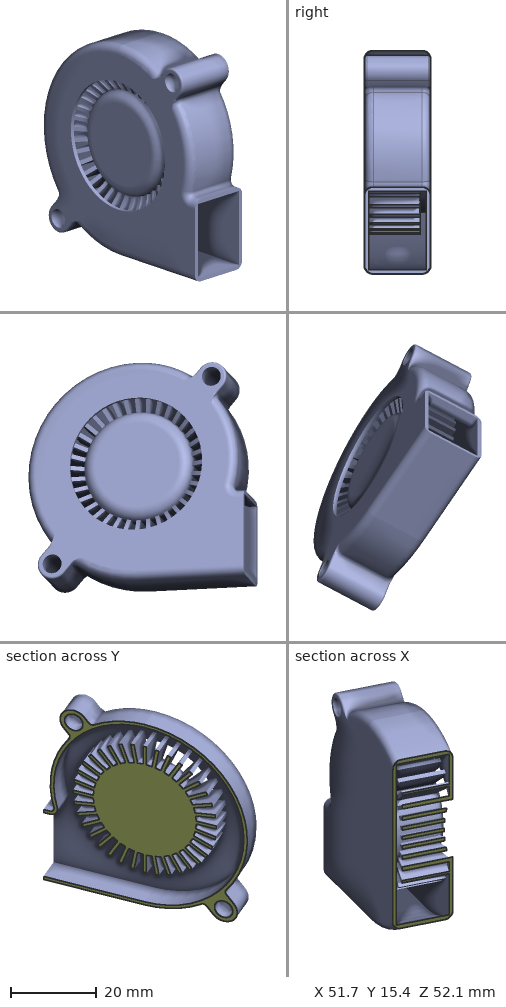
import cadquery as cq
import math

depth = 15.4
large_radius = 26.05
small_radius = 24.0
scroll_top = 24.57
large_center_z = scroll_top - large_radius
small_center_z = scroll_top - small_radius
outlet_x = 25.69
outlet_top = -7.24
neck_radius = 1.0
edge_radius = 2.0
wall = 1.0
mouth_overcut = 1.0

upper_lug = (18.0, 20.0)
lower_lug = (-20.0, -23.0)
lug_angle = math.atan2(upper_lug[1] - lower_lug[1], upper_lug[0] - lower_lug[0])
lug_radius = 3.5
lug_length = 10.0
lug_hole_diameter = 4.5
lug_edge_radius = 0.5
lug_root_radius = 1.0

inlet_radius = 15.8
hub_radius = 13.1
hub_edge_radius = 3.0
hub_recess = 1.0
blade_count = 36
blade_width = 1.0
blade_outer_radius = 18.2
blade_rim_recess = wall
blade_root_recess = 2.7
blade_back = 13.0
blade_overlap = 1.0


def at_depth(y):
    """Work plane at depth y with local axes along X and Z."""
    return cq.Workplane("XZ", origin=(0, y, 0))


def polar(center, radius, angle):
    return (center[0] + radius * math.cos(angle), center[1] + radius * math.sin(angle))


def scroll_outline(plane, inset, mouth_x):
    """Scroll and outlet profile moved inward by inset, with the outlet ending at mouth_x."""
    large = large_radius - inset
    small = small_radius - inset
    small_center = (0, small_center_z)

    neck_z = outlet_top + neck_radius
    rise = neck_z - small_center_z
    neck_x = math.sqrt((small_radius + neck_radius) ** 2 - rise**2)
    neck = (neck_x, neck_z)
    neck_angle = math.atan2(rise, neck_x)
    neck_middle_angle = (neck_angle + math.pi + 1.5 * math.pi) / 2

    return (
        plane.moveTo(0, large_center_z - large)
        .threePointArc((-large, large_center_z), (0, large_center_z + large))
        .threePointArc(
            polar(small_center, small, (math.pi / 2 + neck_angle) / 2),
            polar(small_center, small, neck_angle),
        )
        .threePointArc(
            polar(neck, neck_radius + inset, neck_middle_angle),
            (neck_x, outlet_top - inset),
        )
        .lineTo(mouth_x, outlet_top - inset)
        .lineTo(mouth_x, large_center_z - large)
        .close()
    )


def scroll_body():
    """Solid scroll, rounded along both rims except across the outlet mouth."""
    body = scroll_outline(at_depth(0), 0, outlet_x).extrude(-depth)
    rims = body.faces("<Y or >Y").edges("not(#X and #Y)")
    return body.newObject(rims.vals()).fillet(edge_radius)


def lug_plane(center, angle):
    """Work plane at a lug hole with local X pointing outward along the lug."""
    outward = (math.cos(angle), 0, math.sin(angle))
    return cq.Workplane(cq.Plane((center[0], 0, center[1]), outward, (0, -1, 0)))


def plain_lug(center, angle):
    return (
        lug_plane(center, angle)
        .moveTo(-lug_length, lug_radius)
        .lineTo(0, lug_radius)
        .threePointArc((lug_radius, 0), (0, -lug_radius))
        .lineTo(-lug_length, -lug_radius)
        .close()
        .extrude(-depth)
    )


def lug_edge_trim(center, angle, scroll_radius, scroll_center_z):
    """Material to remove so that the rims of a lug and of its roots become round."""
    to_scroll = (-center[0], scroll_center_z - center[1])
    scroll_along = to_scroll[0] * math.cos(angle) + to_scroll[1] * math.sin(angle)
    scroll_across = to_scroll[1] * math.cos(angle) - to_scroll[0] * math.sin(angle)

    def root_arc(side):
        """Start, middle and end of the concave arc from the lug side to the scroll."""
        across = side * (lug_radius + lug_root_radius)
        offset = across - scroll_across
        reach = math.sqrt((scroll_radius + lug_root_radius) ** 2 - offset**2)
        root = (scroll_along + reach, across)
        start_angle = -side * math.pi / 2
        end_angle = side * (math.atan2(side * offset, reach) - math.pi)
        middle_angle = (start_angle + end_angle) / 2
        return [polar(root, lug_root_radius, a) for a in (start_angle, middle_angle, end_angle)]

    left_start, left_middle, left_end = root_arc(1)
    right_start, right_middle, right_end = root_arc(-1)
    sharp = (
        lug_plane(center, angle)
        .moveTo(*left_end)
        .threePointArc(left_middle, left_start)
        .lineTo(0, lug_radius)
        .threePointArc((lug_radius, 0), (0, -lug_radius))
        .lineTo(*right_start)
        .threePointArc(right_middle, right_end)
        .close()
        .extrude(-depth)
    )
    nose_rims = sharp.faces("<Y or >Y").edges(cq.selectors.RadiusNthSelector(-1))
    return sharp.cut(sharp.newObject(nose_rims.vals()).fillet(lug_edge_radius))


def is_lug_root(edge):
    """True for the straight corners where a lug side meets the scroll wall."""
    center = edge.Center()
    near_lug = any(
        math.hypot(center.x - x, center.z - z) < lug_length for x, z in (upper_lug, lower_lug)
    )
    straight_wall = depth - 2 * edge_radius
    return near_lug and edge.geomType() == "LINE" and abs(edge.Length() - straight_wall) < 1e-3


def housing():
    lower_angle = lug_angle + math.pi
    shell = scroll_body()
    shell = shell.union(plain_lug(upper_lug, lug_angle)).union(plain_lug(lower_lug, lower_angle))
    shell = shell.newObject(shell.edges().filter(is_lug_root).vals()).fillet(lug_root_radius)
    shell = shell.cut(lug_edge_trim(upper_lug, lug_angle, small_radius, small_center_z))
    shell = shell.cut(lug_edge_trim(lower_lug, lower_angle, large_radius, large_center_z))

    cavity_outline = scroll_outline(at_depth(wall), wall, outlet_x + mouth_overcut)
    cavity = cavity_outline.extrude(-(depth - 2 * wall))
    inlet = at_depth(0).circle(inlet_radius).extrude(-2 * wall)
    screw_holes = (
        at_depth(0).pushPoints([upper_lug, lower_lug]).circle(lug_hole_diameter / 2).extrude(-depth)
    )
    return shell.cut(cavity).cut(inlet).cut(screw_holes)


def hub():
    """Domed cylinder standing on the back wall."""
    hub_length = depth - hub_recess
    cylinder = at_depth(hub_recess).circle(hub_radius).extrude(-hub_length)
    return cylinder.faces("<Y").edges().fillet(hub_edge_radius)


def blade():
    """One blade along +X, its front edge sloping from the hub up to the front wall."""
    slope = (blade_root_recess - blade_rim_recess) / (inlet_radius - hub_radius)
    inner_radius = hub_radius - blade_overlap
    return (
        cq.Workplane("XY")
        .moveTo(inner_radius, blade_root_recess + slope * blade_overlap)
        .lineTo(inlet_radius, blade_rim_recess)
        .lineTo(blade_outer_radius, blade_rim_recess)
        .lineTo(blade_outer_radius, blade_back)
        .lineTo(inner_radius, blade_back)
        .close()
        .extrude(blade_width / 2, both=True)
    )


def rotor():
    pitch = 360 / blade_count
    blades = [blade().rotate((0, 0, 0), (0, 1, 0), i * pitch).val() for i in range(blade_count)]
    return cq.Workplane(hub().val().fuse(*blades))


result = housing().union(rotor()).solids()